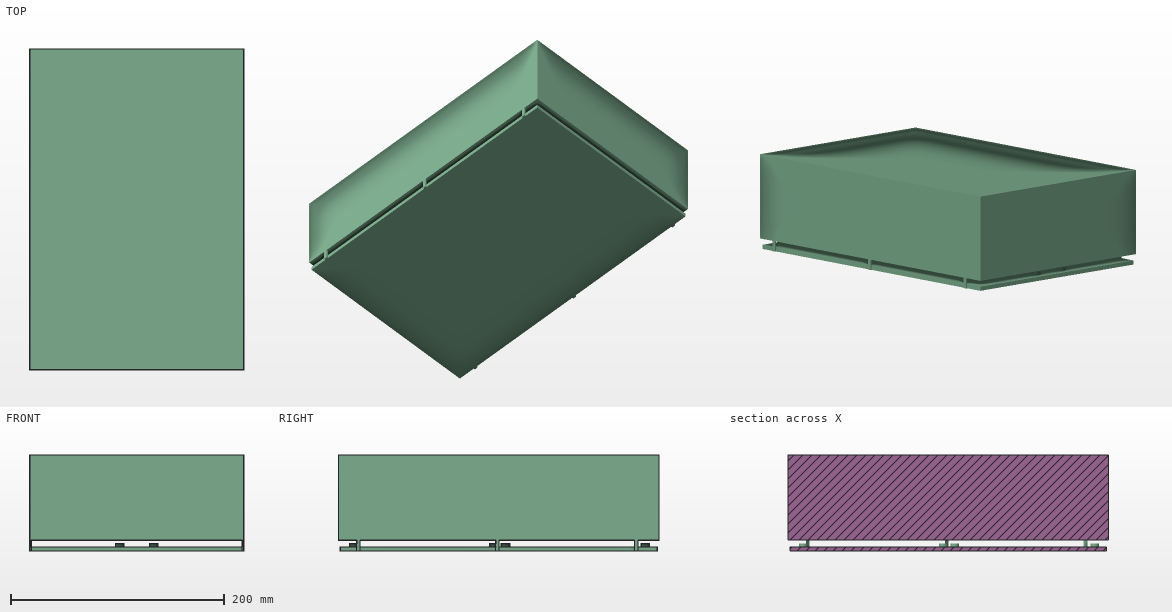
import cadquery as cq

LENGTH_Y = 300.0
WIDTH_X = 200.0
TOTAL_HEIGHT = 90.0

PLATE_THICKNESS = 4.0
PLATE_LENGTH_Y = 296.7
GAP = 6.0
BLOCK_BOTTOM = PLATE_THICKNESS + GAP

HANGER_THICKNESS = 1.5
HANGER_WIDTH = 3.3
HANGER_PITCH = 130.0
HANGER_SHIFT_Y = -1.35
PLATE_WIDTH_X = WIDTH_X - 2 * HANGER_THICKNESS

PAD_DIAMETER = 8.0
PAD_HEIGHT = 3.0
PAD_SPACING_X = 32.0
PAD_PAIR_PITCH = 130.8
PAD_INNER_SPACING = 10.8
PAD_SHIFT_Y = 1.0


def box_on(width, length, height, bottom, x=0.0, y=0.0):
    """Box centred on (x, y) whose lower face lies at the given height."""
    return (
        cq.Workplane("XY", origin=(x, y, bottom))
        .rect(width, length)
        .extrude(height)
    )


def make_hangers():
    """Three strips on each long side, running from the plate's underside to the block."""
    hangers = []
    offset_x = (WIDTH_X - HANGER_THICKNESS) / 2
    for side in (-1, 1):
        for row in (-1, 0, 1):
            y = HANGER_SHIFT_Y + row * HANGER_PITCH
            x = side * offset_x
            strip = box_on(HANGER_THICKNESS, HANGER_WIDTH, BLOCK_BOTTOM, bottom=0.0, x=x, y=y)
            hangers.append(strip)
    return hangers


def make_pads():
    """Short cylinders resting on the plate."""
    inner_y = PAD_INNER_SPACING / 2
    outer_y = inner_y + PAD_PAIR_PITCH
    centres = [
        (side * PAD_SPACING_X / 2, PAD_SHIFT_Y + y)
        for side in (-1, 1)
        for y in (-outer_y, -inner_y, inner_y, outer_y)
    ]
    return (
        cq.Workplane("XY", origin=(0, 0, PLATE_THICKNESS))
        .pushPoints(centres)
        .circle(PAD_DIAMETER / 2)
        .extrude(PAD_HEIGHT)
    )


block = box_on(WIDTH_X, LENGTH_Y, TOTAL_HEIGHT - BLOCK_BOTTOM, BLOCK_BOTTOM)
plate = box_on(PLATE_WIDTH_X, PLATE_LENGTH_Y, PLATE_THICKNESS, bottom=0.0)

result = block.union(plate)
for hanger in make_hangers():
    result = result.union(hanger)
result = result.union(make_pads())